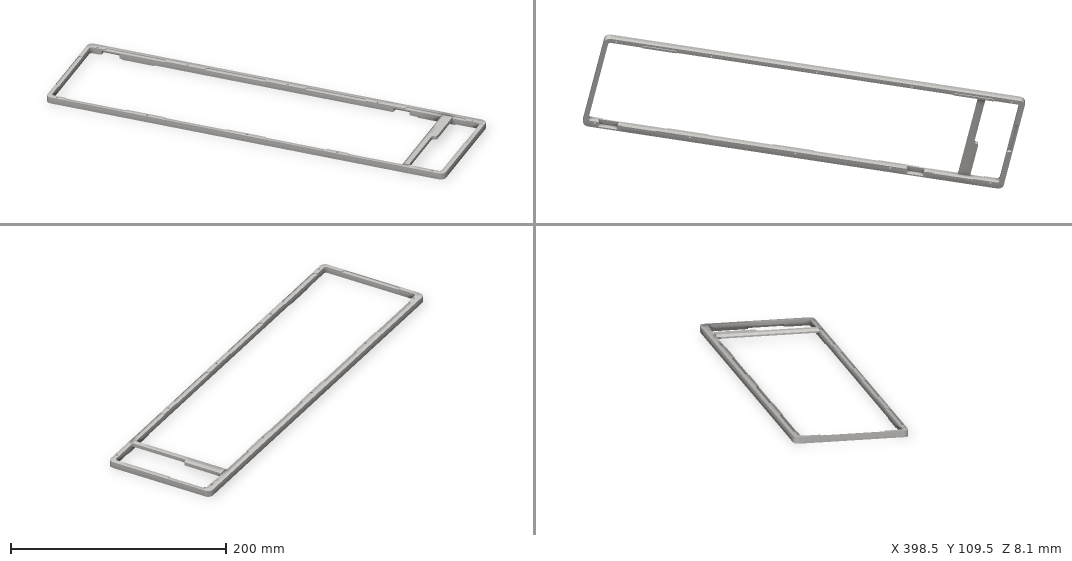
import cadquery as cq

LENGTH = 398.5
WIDTH = 109.5
HEIGHT = 6.5
OUTER_RADIUS = 5.0
INNER_RADIUS = 2.5

FRONT_RAIL = 4.8
REAR_RAIL = 7.0
LEFT_RAIL = 4.0
RIGHT_RAIL = 4.8
INNER_RIGHT = LENGTH - RIGHT_RAIL
INNER_REAR = WIDTH - REAR_RAIL

HOLE_DIAMETER = 2.1
HOLE_X = [10.8, 101.0, 201.0, 291.0, 385.7]
FRONT_HOLE_Y = FRONT_RAIL / 2
REAR_HOLE_Y = WIDTH - 5.5

RECESS_DEPTH = 0.8
RECESS_LENGTH = 61.0
RECESS_RADIUS = 3.0
FRONT_LIP = 0.6
LEFT_LIP = 0.5
RIGHT_LIP = 0.8
REAR_RECESS_WIDTH = 3.5
REAR_RECESS_X = [18.5, 118.5, 218.5, 318.5]
FRONT_RECESS_X = [18.5, 118.5, 218.5, 301.3]
LEFT_RECESS_Y = 22.7
RIGHT_RECESS_Y = 63.0

CUTOUT_MOUTH_RADIUS = 2.0
REAR_CUTOUT_SPANS = [(15.0, 32.5), (307.2, 322.8)]
REAR_CUTOUT_WIDTH = 5.5
REAR_CUTOUT_HEIGHT = 4.5
RIGHT_CUTOUT_SPAN = (29.5, 63.5)
RIGHT_CUTOUT_WIDTH = 3.5
RIGHT_CUTOUT_HEIGHT = 2.8

FOOT_HEIGHT = 0.8
FOOT_WIDTH = 2.5
FOOT_SPANS = [(36.0, 68.0), (331.0, 369.0)]

BAR_LEFT = 354.5
BAR_SLOPE_WIDTH = 2.0
BAR_NARROW_RIGHT = 362.0
BAR_WIDE_RIGHT = 366.2
BAR_WIDE_LENGTH = 40.0
BAR_STEP_RADIUS = 2.0
BAR_TOP = HEIGHT + 0.8
BAR_ROOT_RADIUS = 1.5
BAR_BOTTOM = 3.5
BAR_SLOPE_HEIGHT = 2.5


def block(x0, x1, y0, y1, z0, z1):
    """Box given by its limits along each axis."""
    return cq.Workplane("XY").box(x1 - x0, y1 - y0, z1 - z0, centered=False).translate((x0, y0, z0))


def make_frame():
    outer = block(0, LENGTH, 0, WIDTH, 0, HEIGHT).edges("|Z").fillet(OUTER_RADIUS)
    window = block(LEFT_RAIL, INNER_RIGHT, FRONT_RAIL, INNER_REAR, 0, HEIGHT)
    return outer.cut(window.edges("|Z").fillet(INNER_RADIUS))


def make_crossbar():
    """Flat bar, wider towards the rear rail, with a sloped left edge."""
    step_y = INNER_REAR - BAR_WIDE_LENGTH
    margin = BAR_STEP_RADIUS / 2
    plan = (
        cq.Workplane("XY")
        .workplane(offset=BAR_BOTTOM)
        .moveTo(BAR_LEFT, FRONT_RAIL)
        .lineTo(BAR_NARROW_RIGHT + BAR_ROOT_RADIUS, FRONT_RAIL)
        .radiusArc((BAR_NARROW_RIGHT, FRONT_RAIL + BAR_ROOT_RADIUS), BAR_ROOT_RADIUS)
        .lineTo(BAR_NARROW_RIGHT, step_y)
        .lineTo(BAR_WIDE_RIGHT, step_y)
        .lineTo(BAR_WIDE_RIGHT, INNER_REAR)
        .lineTo(BAR_LEFT, INNER_REAR)
        .close()
        .extrude(BAR_TOP - BAR_BOTTOM)
    )
    step_corners = cq.selectors.BoxSelector(
        (BAR_NARROW_RIGHT - margin, step_y - margin, BAR_BOTTOM),
        (BAR_WIDE_RIGHT + margin, step_y + margin, BAR_TOP),
    )
    bar = plan.edges("|Z").edges(step_corners).fillet(BAR_STEP_RADIUS)
    return bar.faces(">Z").edges("<X").chamfer(BAR_SLOPE_HEIGHT, BAR_SLOPE_WIDTH)


def make_feet():
    feet = cq.Workplane("XY")
    for start, end in FOOT_SPANS:
        for inner_edge in (FRONT_RAIL, INNER_REAR + FOOT_WIDTH):
            feet = feet.add(block(start, end, inner_edge - FOOT_WIDTH, inner_edge, -FOOT_HEIGHT, 0))
    return feet.combine()


def make_top_recesses():
    floor = HEIGHT - RECESS_DEPTH
    left = block(LEFT_LIP, LEFT_RAIL, LEFT_RECESS_Y, LEFT_RECESS_Y + RECESS_LENGTH, floor, HEIGHT)
    recesses = left.edges("|Z and <X").fillet(RECESS_RADIUS)
    right = block(INNER_RIGHT, LENGTH - RIGHT_LIP, RIGHT_RECESS_Y, INNER_REAR, floor, HEIGHT)
    recesses = recesses.add(right.edges("|Z and >X").fillet(RECESS_RADIUS))
    for x in REAR_RECESS_X:
        rear = block(x, x + RECESS_LENGTH, INNER_REAR, INNER_REAR + REAR_RECESS_WIDTH, floor, HEIGHT)
        recesses = recesses.add(rear.edges("|Z and >Y").fillet(RECESS_RADIUS))
    for x in FRONT_RECESS_X:
        front = block(x, x + RECESS_LENGTH, FRONT_LIP, FRONT_RAIL, floor, HEIGHT)
        recesses = recesses.add(front.edges("|Z and <Y").fillet(RECESS_RADIUS))
    return recesses.combine()


def underside_cutout(length, width, height):
    """Cutter along +X reaching into +Y, its mouth on Y = 0 flared by rounded corners."""
    radius = CUTOUT_MOUTH_RADIUS
    return (
        cq.Workplane("XY")
        .moveTo(-radius, 0)
        .radiusArc((0, radius), -radius)
        .lineTo(0, width)
        .lineTo(length, width)
        .lineTo(length, radius)
        .radiusArc((length + radius, 0), -radius)
        .close()
        .extrude(height)
    )


def make_underside_cutouts():
    start, end = RIGHT_CUTOUT_SPAN
    right = underside_cutout(end - start, RIGHT_CUTOUT_WIDTH, RIGHT_CUTOUT_HEIGHT)
    cutouts = right.rotate((0, 0, 0), (0, 0, 1), -90).translate((INNER_RIGHT, end, 0))
    for start, end in REAR_CUTOUT_SPANS:
        rear = underside_cutout(end - start, REAR_CUTOUT_WIDTH, REAR_CUTOUT_HEIGHT)
        cutouts = cutouts.add(rear.translate((start, INNER_REAR, 0)))
    return cutouts.combine()


def make_hole_row(y):
    """Through-hole cutters along a long rail, centred at the given Y."""
    centres = [(x, y) for x in HOLE_X]
    return cq.Workplane("XY").pushPoints(centres).circle(HOLE_DIAMETER / 2).extrude(HEIGHT)


result = (
    make_frame()
    .cut(make_top_recesses())
    .cut(make_underside_cutouts())
    .union(make_crossbar())
    .union(make_feet())
    .cut(make_hole_row(FRONT_HOLE_Y))
    .cut(make_hole_row(REAR_HOLE_Y))
)